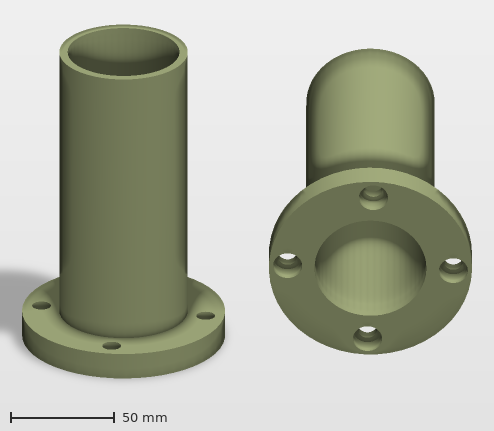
import cadquery as cq

flange_diameter = 98.0
flange_thickness = 13.0

total_height = 151.0
tube_outer_diameter = 62.0
wall_thickness = 4.0
bore_diameter = tube_outer_diameter - 2 * wall_thickness

bolt_circle_diameter = 80.0
bolt_hole_diameter = 9.0
counterbore_diameter = 14.0
counterbore_depth = 8.1
bolt_hole_count = 4
first_bolt_angle = 45.0
full_turn = 360.0


def make_body():
    """Round flange with its underside on Z = 0, and the tube rising from it."""
    flange = cq.Workplane("XY").circle(flange_diameter / 2).extrude(flange_thickness)
    tube = cq.Workplane("XY").circle(tube_outer_diameter / 2).extrude(total_height)
    return flange.union(tube)


def make_bore():
    """Straight bore through the full height of the part."""
    return cq.Workplane("XY").circle(bore_diameter / 2).extrude(total_height)


def make_bolt_circle_pins(diameter, height):
    """Cylinders rising from the flange underside, one at each bolt position."""
    return (
        cq.Workplane("XY")
        .polarArray(bolt_circle_diameter / 2, first_bolt_angle, full_turn, bolt_hole_count)
        .circle(diameter / 2)
        .extrude(height)
    )


def make_bolt_holes():
    """Through holes with a counterbore for the screw heads."""
    through_holes = make_bolt_circle_pins(bolt_hole_diameter, flange_thickness)
    counterbores = make_bolt_circle_pins(counterbore_diameter, counterbore_depth)
    return through_holes.union(counterbores)


result = make_body().cut(make_bore()).cut(make_bolt_holes())